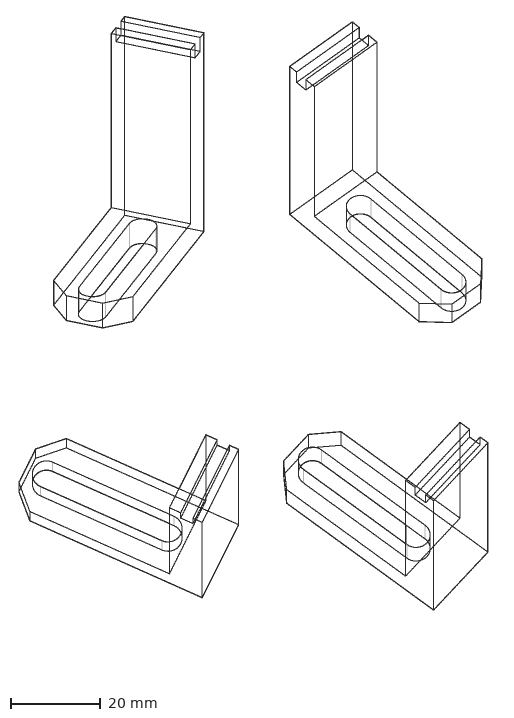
import cadquery as cq

width = 19.05
depth = 47.6
height = 51.45
foot_thickness = 6.45
wall_thickness = 8.1

groove_width = 3.05
groove_depth = 3.6
groove_back_lip = 2.25

slot_width = 6.35
slot_length = 36.25
slot_front_margin = 1.6

corner_chamfer = 5.15


def make_bracket():
    """L-shaped body, centred on X, with its free end at Y = 0."""
    foot = cq.Workplane("XY").box(width, depth, foot_thickness, centered=(True, False, False))
    foot = foot.edges("|Z and <Y").chamfer(corner_chamfer)
    wall = (
        cq.Workplane("XY")
        .box(width, wall_thickness, height, centered=(True, False, False))
        .translate((0, depth - wall_thickness, 0))
    )
    return foot.union(wall)


def make_groove():
    """Bar that cuts the groove along X in the top of the wall."""
    groove_front = depth - groove_back_lip - groove_width
    return (
        cq.Workplane("XY")
        .box(width, groove_width, groove_depth, centered=(True, False, False))
        .translate((0, groove_front, height - groove_depth))
    )


def make_slot():
    """Round-ended cutter that passes through the foot."""
    slot_center = slot_front_margin + slot_length / 2
    return (
        cq.Workplane("XY")
        .center(0, slot_center)
        .slot2D(slot_length, slot_width, 90)
        .extrude(foot_thickness)
    )


result = make_bracket().cut(make_groove()).cut(make_slot())